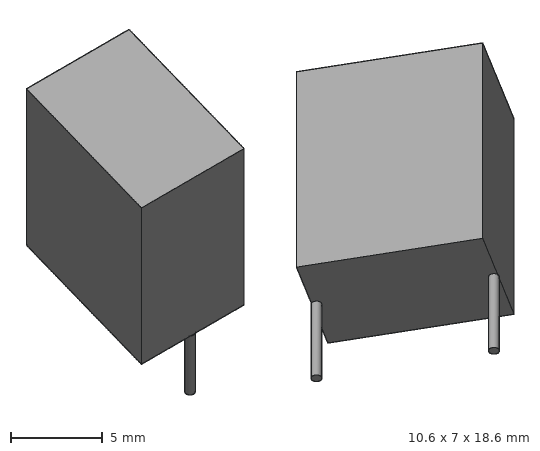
import cadquery as cq

body_length = 10.5
body_width = 7.0
body_height = 13.5

lead_diameter = 0.6
lead_pitch = 10.0
lead_length = 5.1


def make_body():
    """Plain rectangular block, centred on the Z axis."""
    return cq.Workplane("XY").box(
        body_length, body_width, body_height, centered=(True, True, False)
    )


def make_lead(x):
    """Straight round lead hanging from the underside of the body."""
    return cq.Workplane("XY").center(x, 0).circle(lead_diameter / 2).extrude(-lead_length)


body = make_body()
leads = [make_lead(side * lead_pitch / 2) for side in (-1, 1)]

result = cq.Compound.makeCompound([body.val(), *[lead.val() for lead in leads]])